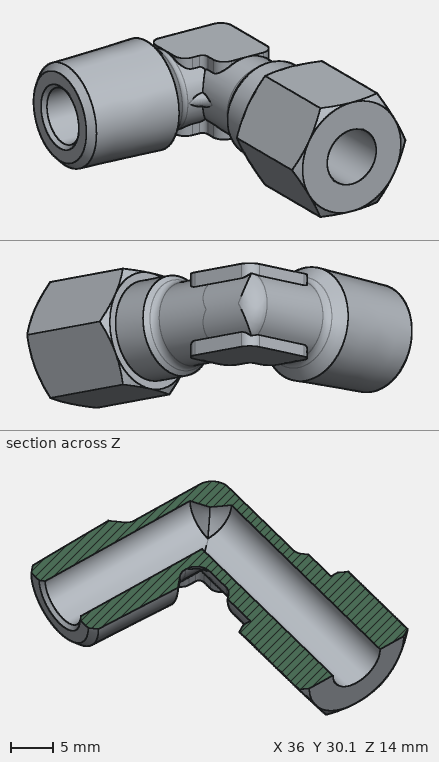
import cadquery as cq
import math


OVERALL_LENGTH = 36.03
ARM_RADIUS = 5.0
NECK_RADIUS = 1.5
CORNER_RADIUS = 2.4
CROTCH_RADIUS = 1.98
CROTCH_WEB_RADIUS = 0.85

THREAD_END = 21.98
THREAD_BLEND_START = 7.15
GAUGE_LENGTH = 4.5
GAUGE_RADIUS = 6.6
THREAD_TAPER = 1 / 32
THREAD_LENGTH = 12.4
THREAD_CHAMFER = 0.85

COLLAR_RADIUS = 6.0
COLLAR_BLEND_START = 10.15

NUT_START = 16.2
NUT_FLATS = 14.0
NUT_CHAMFER_ANGLE = 30

PAD_LEFT = -3.5
PAD_RIGHT = 7.0
PAD_TOP = 3.82
PAD_BOTTOM = -7.0
NOTCH_X = 3.53
NOTCH_Y = -3.8
PAD_CORNER_RADIUS = 1.5
NOTCH_RADIUS = 0.72

BORE_RADIUS = 3.5
DRILL_POINT_ANGLE = 120
COUNTERSINK = 0.5

THREAD_LARGE_RADIUS = GAUGE_RADIUS + THREAD_TAPER * (THREAD_LENGTH - GAUGE_LENGTH)
NUT_END = OVERALL_LENGTH - THREAD_LARGE_RADIUS
BLEND_LENGTH = NECK_RADIUS * math.sin(math.radians(45))
BLEND_RISE = NECK_RADIUS * (1 - math.cos(math.radians(45)))


def revolve_along_x(profile):
    """Revolve a closed (axial, radial) profile about the X axis."""
    return profile.close().revolve(360, (0, 0, 0), (1, 0, 0))


def turn_to_thread_side(solid):
    """Turn a solid built along +X so that it runs along -Y."""
    return solid.rotate((0, 0, 0), (0, 0, 1), -90)


def neck_profile(blend_start):
    """Arm outline from the origin up to the end of its concave blend."""
    mid = math.radians(22.5)
    mid_point = (
        blend_start + NECK_RADIUS * math.sin(mid),
        ARM_RADIUS + NECK_RADIUS * (1 - math.cos(mid)),
    )
    end_point = (blend_start + BLEND_LENGTH, ARM_RADIUS + BLEND_RISE)
    return (
        cq.Workplane("XY")
        .lineTo(0, ARM_RADIUS)
        .lineTo(blend_start, ARM_RADIUS)
        .threePointArc(mid_point, end_point)
    )


def make_thread_arm():
    """Threaded arm with a shoulder up to the tapered thread envelope."""
    gauge_plane = THREAD_END - GAUGE_LENGTH
    chamfer_start = THREAD_END - THREAD_CHAMFER
    chamfer_radius = GAUGE_RADIUS - THREAD_TAPER * (chamfer_start - gauge_plane)
    profile = (
        neck_profile(THREAD_BLEND_START)
        .lineTo(THREAD_END - THREAD_LENGTH, THREAD_LARGE_RADIUS)
        .lineTo(chamfer_start, chamfer_radius)
        .lineTo(THREAD_END, chamfer_radius - THREAD_CHAMFER)
        .lineTo(THREAD_END, 0)
    )
    return turn_to_thread_side(revolve_along_x(profile))


def make_nut_arm():
    """Nut arm with a 45 degree shoulder up to the collar behind the nut."""
    shoulder_start = COLLAR_BLEND_START + BLEND_LENGTH
    shoulder_rise = COLLAR_RADIUS - ARM_RADIUS - BLEND_RISE
    profile = (
        neck_profile(COLLAR_BLEND_START)
        .lineTo(shoulder_start + shoulder_rise, COLLAR_RADIUS)
        .lineTo(NUT_START, COLLAR_RADIUS)
        .lineTo(NUT_START, 0)
    )
    return revolve_along_x(profile)


def make_nut():
    """Hexagon with corners on +Y and -Y, chamfered at both ends."""
    corner_radius = NUT_FLATS / math.sqrt(3)
    flat_radius = NUT_FLATS / 2
    chamfer_length = (corner_radius - flat_radius) * math.tan(math.radians(NUT_CHAMFER_ANGLE))
    hexagon = (
        cq.Workplane("YZ", origin=(NUT_START, 0, 0))
        .polygon(6, 2 * corner_radius)
        .extrude(NUT_END - NUT_START)
    )
    envelope = (
        cq.Workplane("XY")
        .moveTo(NUT_START, 0)
        .lineTo(NUT_START, flat_radius)
        .lineTo(NUT_START + chamfer_length, corner_radius)
        .lineTo(NUT_END - chamfer_length, corner_radius)
        .lineTo(NUT_END, flat_radius)
        .lineTo(NUT_END, 0)
    )
    return hexagon.intersect(revolve_along_x(envelope))


def make_outer_corner():
    """Rounded closed end of the thread arm, limited to the width of the nut arm."""
    rounded_end = (
        cq.Workplane("XZ", origin=(0, ARM_RADIUS, 0))
        .circle(ARM_RADIUS)
        .extrude(ARM_RADIUS)
        .faces(">Y")
        .edges()
        .fillet(CORNER_RADIUS)
    )
    rounding_start = ARM_RADIUS - CORNER_RADIUS
    block_size = 4 * ARM_RADIUS
    beyond_nut_arm = (
        cq.Workplane("YZ", origin=(-block_size / 2, 0, 0))
        .rect(block_size, block_size)
        .circle(ARM_RADIUS)
        .extrude(block_size)
        .intersect(
            cq.Workplane("XZ", origin=(0, rounding_start, 0))
            .rect(block_size, block_size)
            .extrude(-ARM_RADIUS)
        )
    )
    return rounded_end.cut(beyond_nut_arm)


def make_crotch_web():
    """Quarter ring of round section that blends the inside of the elbow."""
    arc_center = ARM_RADIUS + CROTCH_RADIUS
    ring_radius = CROTCH_RADIUS + CROTCH_WEB_RADIUS
    return (
        cq.Workplane("XZ", origin=(arc_center, -arc_center, 0))
        .center(-ring_radius, 0)
        .circle(CROTCH_WEB_RADIUS)
        .revolve(90, (ring_radius, 0.35), (ring_radius, 0))
    )


def make_pads():
    """Flat L-shaped wrench pads, level with the top and bottom of the arms."""
    pads = (
        cq.Workplane("XY", origin=(0, 0, -ARM_RADIUS))
        .moveTo(PAD_LEFT, PAD_TOP)
        .lineTo(PAD_RIGHT, PAD_TOP)
        .lineTo(PAD_RIGHT, NOTCH_Y)
        .lineTo(NOTCH_X, NOTCH_Y)
        .lineTo(NOTCH_X, PAD_BOTTOM)
        .lineTo(PAD_LEFT, PAD_BOTTOM)
        .close()
        .extrude(2 * ARM_RADIUS)
    )
    notch_edge = cq.selectors.NearestToPointSelector((NOTCH_X, NOTCH_Y, 0))
    pads = pads.edges("|Z").edges(notch_edge).fillet(NOTCH_RADIUS)
    outer_edges = "<X or >X or <Y or >Y"
    return pads.edges("|Z").edges(outer_edges).fillet(PAD_CORNER_RADIUS)


def make_bore(length):
    """Bore along +X with a drill point beyond the origin."""
    point_depth = BORE_RADIUS / math.tan(math.radians(DRILL_POINT_ANGLE / 2))
    return revolve_along_x(
        cq.Workplane("XY")
        .moveTo(-point_depth, 0)
        .lineTo(0, BORE_RADIUS)
        .lineTo(length, BORE_RADIUS)
        .lineTo(length, 0)
    )


def make_countersink():
    """Countersink at the mouth of the threaded arm's bore."""
    return turn_to_thread_side(revolve_along_x(
        cq.Workplane("XY")
        .moveTo(THREAD_END - COUNTERSINK, 0)
        .lineTo(THREAD_END - COUNTERSINK, BORE_RADIUS)
        .lineTo(THREAD_END, BORE_RADIUS + COUNTERSINK)
        .lineTo(THREAD_END, 0)
    ))


body = (
    make_thread_arm()
    .union(make_outer_corner())
    .union(make_nut_arm())
    .union(make_pads())
    .union(make_crotch_web())
    .union(make_nut())
)
result = (
    body
    .cut(make_bore(NUT_END))
    .cut(turn_to_thread_side(make_bore(THREAD_END)))
    .cut(make_countersink())
)